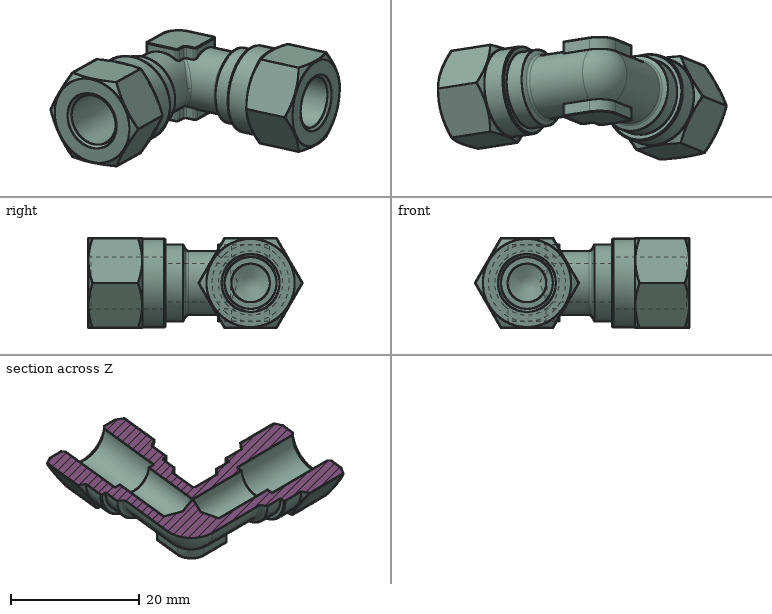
import cadquery as cq
import math

overall_length = 33.4
nut_across_flats = 14.0
nut_corner_radius = nut_across_flats / math.sqrt(3)
leg_length = overall_length - nut_corner_radius

pipe_radius = 5.0
collar_radius = 6.0
collar_start = 10.55
cone_angle = 60.0
cone_root_radius = 0.5
crease_radius = 0.5
ring_radius = 6.9
ring_start = 13.3
ring_chamfer_length = 0.2
ring_chamfer_depth = 0.15

nut_length = 8.5
nut_start = leg_length - nut_length
nut_face_radius = 6.88
nut_chamfer_angle = 30.0

tube_radius = 4.05
tube_mouth_radius = 4.5
tube_mouth_depth = 0.47
bore_radius = 3.0
drill_half_angle = 70.0
drill_tip = 2.0

pad_near = 2.95
pad_far = 5.05
pad_height = 6.0
pad_outer_radius = pad_near
pad_corner_radius = 0.5
pad_notch = 3.0
pad_notch_radius = 0.35
pad_edge_chamfer = 0.1


def turned(points):
    """Revolve (axial, radial) points about the X axis."""
    return cq.Workplane("XY").polyline(points).close().revolve(360, (0, 0, 0), (1, 0, 0))


def stepped_body():
    """Pipe, coned collar and chamfered ring of the leg along +X."""
    cone_start = collar_start - (collar_radius - pipe_radius) / math.tan(math.radians(cone_angle))
    body = turned([
        (0, 0),
        (0, pipe_radius),
        (cone_start, pipe_radius),
        (collar_start, collar_radius),
        (ring_start, collar_radius),
        (ring_start, ring_radius - ring_chamfer_depth),
        (ring_start + ring_chamfer_length, ring_radius),
        (nut_start, ring_radius),
        (nut_start, 0),
    ])
    edge_margin = 0.05
    cone_root = cq.selectors.BoxSelector(
        (cone_start - edge_margin, -collar_radius, -collar_radius),
        (cone_start + edge_margin, collar_radius, collar_radius),
        boundingbox=True,
    )
    return body.edges(cone_root).fillet(cone_root_radius)


def nut():
    """Hexagonal nut with flats facing up and down and corners turned back at both ends."""
    hexagon = (
        cq.Workplane("YZ", origin=(nut_start, 0, 0))
        .polygon(6, 2 * nut_corner_radius)
        .extrude(nut_length)
    )
    chamfer_length = (nut_corner_radius - nut_face_radius) * math.tan(math.radians(nut_chamfer_angle))
    envelope = turned([
        (nut_start, 0),
        (nut_start, nut_face_radius),
        (nut_start + chamfer_length, nut_corner_radius),
        (leg_length - chamfer_length, nut_corner_radius),
        (leg_length, nut_face_radius),
        (leg_length, 0),
    ])
    return hexagon.intersect(envelope)


def bore():
    """Tube socket with a flared mouth, then a narrower blind hole stopping short of the elbow centre."""
    drill_shoulder = drill_tip + bore_radius / math.tan(math.radians(drill_half_angle))
    return turned([
        (drill_tip, 0),
        (drill_shoulder, bore_radius),
        (ring_start, bore_radius),
        (ring_start, tube_radius),
        (leg_length - tube_mouth_depth, tube_radius),
        (leg_length, tube_mouth_radius),
        (leg_length, 0),
    ])


def both_legs(leg):
    """Join a leg along +X with its copy along -Y."""
    return leg.union(leg.rotate((0, 0, 0), (0, 0, 1), -90))


def wrench_pad():
    """Upper pad: square with a rounded outer corner and a notched inner corner."""
    pad = (
        cq.Workplane("XY")
        .polyline([
            (-pad_near, pad_near),
            (pad_far, pad_near),
            (pad_far, -pad_notch),
            (pad_notch, -pad_notch),
            (pad_notch, -pad_far),
            (-pad_near, -pad_far),
        ])
        .close()
        .extrude(pad_height)
    )
    for x, y, radius in [
        (-pad_near, pad_near, pad_outer_radius),
        (pad_far, pad_near, pad_corner_radius),
        (pad_far, -pad_notch, pad_corner_radius),
        (pad_notch, -pad_notch, pad_notch_radius),
        (pad_notch, -pad_far, pad_corner_radius),
        (-pad_near, -pad_far, pad_corner_radius),
    ]:
        corner = cq.selectors.NearestToPointSelector((x, y, pad_height / 2))
        pad = pad.edges(corner).fillet(radius)
    return pad.faces(">Z").edges().chamfer(pad_edge_chamfer)


upper_pad = wrench_pad()
body = both_legs(stepped_body()).union(cq.Workplane("XY").sphere(pipe_radius))
body = body.union(upper_pad).union(upper_pad.mirror("XY"))

body = body.edges("%ELLIPSE").fillet(crease_radius)

result = body.union(both_legs(nut())).cut(both_legs(bore()))